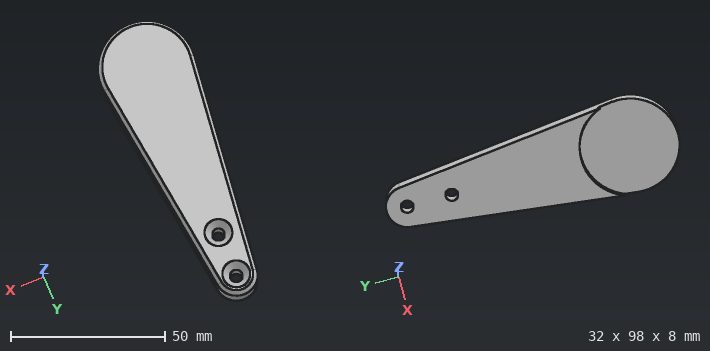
import cadquery as cq
import math

overall_length = 98.0
wide_radius = 16.0
narrow_radius = 7.0
thickness = 8.0
top_chamfer = 1.5

recess_radius = 16.5
recess_depth = 1.8

hole_diameter = 4.0
countersink_diameter = 9.0
countersink_angle = 90.0
hole_spacing = 15.0

narrow_center_y = overall_length - wide_radius - narrow_radius
hole_positions_y = (narrow_center_y, narrow_center_y - hole_spacing)


def make_lever_blank():
    """Two unequal round ends joined by tangent sides, chamfered around the top."""
    taper_angle = math.asin((wide_radius - narrow_radius) / narrow_center_y)
    wide_x = wide_radius * math.cos(taper_angle)
    wide_y = wide_radius * math.sin(taper_angle)
    narrow_x = narrow_radius * math.cos(taper_angle)
    narrow_y = narrow_center_y + narrow_radius * math.sin(taper_angle)

    outline = (
        cq.Workplane("XY")
        .moveTo(wide_x, wide_y)
        .lineTo(narrow_x, narrow_y)
        .threePointArc((0, narrow_center_y + narrow_radius), (-narrow_x, narrow_y))
        .lineTo(-wide_x, wide_y)
        .threePointArc((0, -wide_radius), (wide_x, wide_y))
        .close()
    )
    return outline.extrude(thickness).faces(">Z").edges().chamfer(top_chamfer)


def make_underside_recess():
    """Round clearance below the wide end, concentric with it."""
    return cq.Workplane("XY").circle(recess_radius).extrude(recess_depth)


def add_countersunk_holes(body):
    """Through holes countersunk from the top face."""
    return (
        body.faces(">Z")
        .workplane(origin=(0, 0, thickness))
        .pushPoints([(0, y) for y in hole_positions_y])
        .cskHole(hole_diameter, countersink_diameter, countersink_angle)
    )


lever = make_lever_blank().cut(make_underside_recess())
result = add_countersunk_holes(lever)